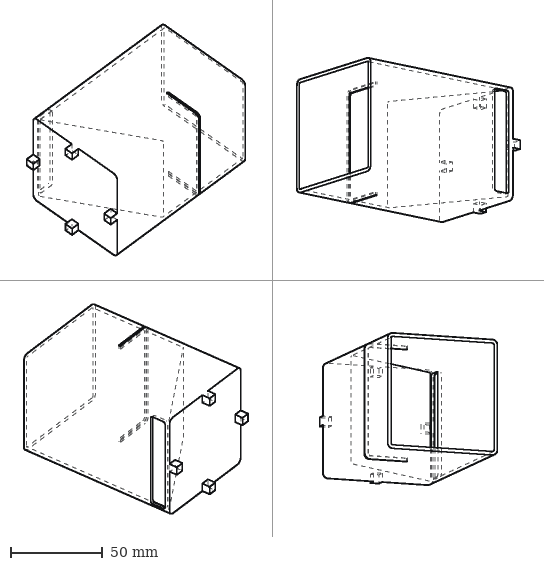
import cadquery as cq

length = 105.0
width = 64.0
foot = 5.0
body_length = length - foot
corner_radius = 3.0
wall = 2.0

window_length = 10.0
window_offset = 3.0
window_height = width - 2 * corner_radius
window_radius = 1.5

ramp_run = width - 2 * wall
ramp_rise = 36.0

slit_width = 1.0
slit_depth = 24.6
slit_offset = 64.4


def make_bar(side, edge_radius):
    """Square bar along Y with rounded long edges."""
    bar = cq.Workplane("XY").box(side, body_length, side, centered=(True, False, True))
    return bar.edges("|Y").fillet(edge_radius)


def make_outer_body():
    """Solid envelope of the box."""
    return make_bar(width, corner_radius)


def make_cavity():
    """Inside space, closed at the footed end and open at the other."""
    return make_bar(width - 2 * wall, corner_radius - wall).translate((0, wall, 0))


def make_ramp():
    """Solid wedge on the closed end that slopes down to the window, kept inside the walls."""
    low_x = -ramp_run / 2
    profile = [(low_x, wall), (-low_x, wall), (-low_x, wall + ramp_rise)]
    return cq.Workplane("XY").polyline(profile).close().extrude(ramp_run / 2, both=True)


def make_window():
    """Rounded rectangular opening that crosses only the -X wall."""
    window = cq.Workplane("XY").box(2 * wall, window_length, window_height)
    window = window.edges("|X").fillet(window_radius)
    return window.translate((-width / 2, window_offset + window_length / 2, 0))


def make_slit():
    """Thin cut through the top, bottom and +X walls."""
    slit = cq.Workplane("XY").box(slit_depth, slit_width, width)
    return slit.translate(((width - slit_depth) / 2, slit_offset, 0))


def make_feet():
    """Four cubes, flush with the middle of each side."""
    reach = (width - foot) / 2
    places = [(reach, 0), (-reach, 0), (0, reach), (0, -reach)]
    return cq.Workplane("XZ").pushPoints(places).rect(foot, foot).extrude(foot)


outer_body = make_outer_body()
body = outer_body.cut(make_cavity()).union(make_ramp().intersect(outer_body))
result = body.cut(make_window()).cut(make_slit()).union(make_feet())